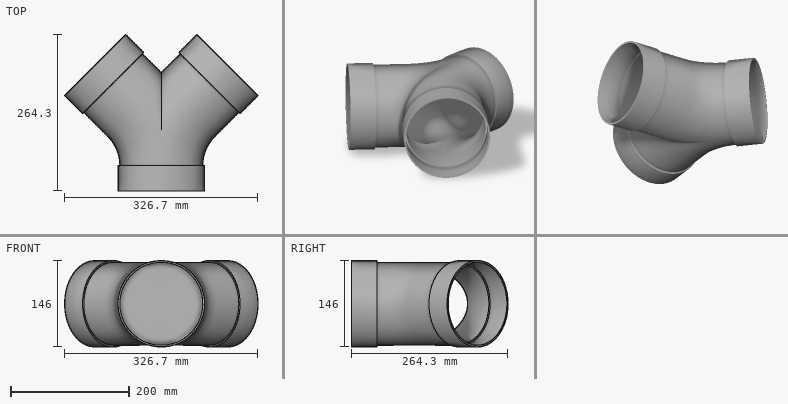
import cadquery as cq
import math


wall = 3.0
pipe_diameter = 140.0
bore_diameter = pipe_diameter - 2 * wall
collar_diameter = pipe_diameter + 2 * wall
collar_length = 43.0
socket_depth = collar_length - wall

bend_radius = pipe_diameter
bend_angle = 45.0
arm_length = 100.0

angle = math.radians(bend_angle)
bend_end = cq.Vector(bend_radius * (1 - math.cos(angle)), bend_radius * math.sin(angle), 0)
arm_direction = cq.Vector(math.sin(angle), math.cos(angle), 0)
arm_end = bend_end + arm_direction * arm_length
inlet_direction = cq.Vector(0, 1, 0)
inlet_end = cq.Vector(0, -collar_length, 0)


def cylinder(diameter, length, start, direction):
    """Solid cylinder from a start point along a direction."""
    return cq.Workplane(cq.Solid.makeCylinder(diameter / 2, length, start, direction))


def elbow(diameter):
    """Solid bend starting at the origin along +Y and turning towards +X."""
    return (
        cq.Workplane("XZ")
        .circle(diameter / 2)
        .revolve(bend_angle, (bend_radius, 1, 0), (bend_radius, 0, 0))
    )


def branch(diameter):
    """Both arms, filled to the given diameter, from the inlet collar to the arm ends."""
    arm = elbow(diameter).union(cylinder(diameter, arm_length, bend_end, arm_direction))
    return arm.union(arm.mirror("YZ"))


def three_ports(diameter, length):
    """Cylinders reaching inwards from the three open ends."""
    inlet = cylinder(diameter, length, inlet_end, inlet_direction)
    arm = cylinder(diameter, length, arm_end, arm_direction * -1)
    return inlet.union(arm).union(arm.mirror("YZ"))


body = branch(pipe_diameter).union(three_ports(collar_diameter, collar_length))
result = body.cut(branch(bore_diameter)).cut(three_ports(pipe_diameter, socket_depth))